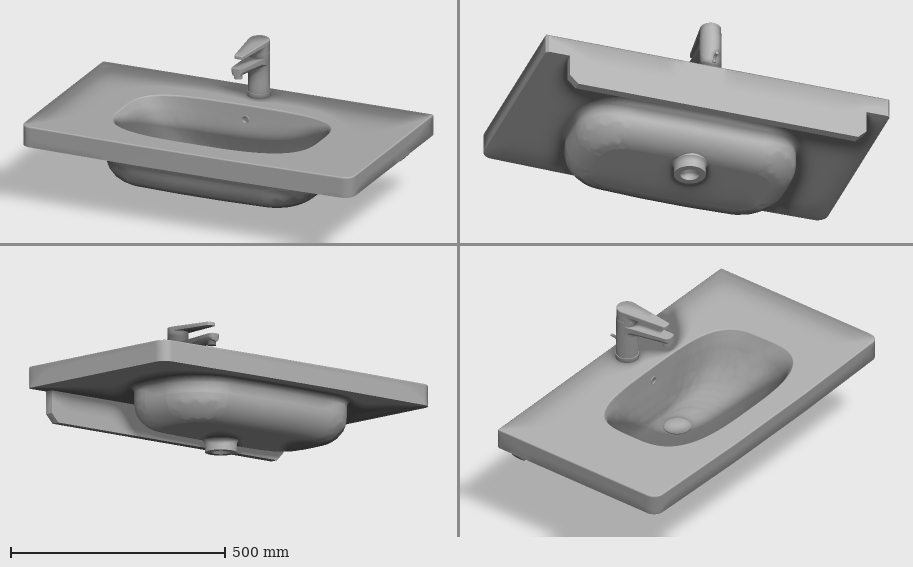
import cadquery as cq
import math


SLAB_WIDTH = 850.0
SLAB_DEPTH = 480.0
SLAB_THICKNESS = 51.0
BACK_Y = SLAB_DEPTH / 2
FRONT_Y = -SLAB_DEPTH / 2
FRONT_BULGE = 8.0
FRONT_CORNER_RADIUS = 26.0
BACK_CORNER_CHAMFER = 6.0
BACK_EDGE_CHAMFER = 6.0
TOP_EDGE_RADIUS = 3.0

APRON_WIDTH = 733.0
APRON_THICKNESS = 20.0
APRON_BOTTOM = -125.0
APRON_CHAMFER = 20.0

BOWL_CENTRE_Y = -33.0
BOWL_HALF_WIDTH = 270.0
BOWL_HALF_DEPTH = 146.0
BOWL_BULGE = 14.0
BOWL_CORNER_RADIUS = 110.5
BOWL_BOTTOM = -150.0
BOWL_BOTTOM_RADIUS = 60.0
BOWL_ROOT_RADIUS = 12.0
SELECTION_MARGIN = 1.0
RIM_HALF_WIDTH = 255.0
RIM_HALF_DEPTH = 142.0
RIM_BACK_EXPONENT = 3.7
RIM_FRONT_EXPONENT = 3.1
SEAT_EXPONENT = 2.0
BOWL_STEEPNESS = 3.0
BOWL_SECTIONS = 6
OUTLINE_POINTS = 48

DRAIN_Y = 35.0
SEAT_DIAMETER = 87.0
SEAT_Z = -136.0
SPIGOT_DIAMETER = 75.0
SPIGOT_BOTTOM = -178.0
SPIGOT_ROOT_RADIUS = 14.0
SPIGOT_ROOT_FLARE = 5.0
DRAIN_BORE = 44.0
PLUG_DIAMETER = 66.0
PLUG_TOP_DIAMETER = 60.0
PLUG_RIM_HEIGHT = 3.0
PLUG_DOME_HEIGHT = 3.0

OVERFLOW_Z = -36.0
OVERFLOW_RING_DIAMETER = 20.0
OVERFLOW_BORE = 16.0
OVERFLOW_RING_FRONT_Y = 105.0
OVERFLOW_RING_LENGTH = 13.0
OVERFLOW_DEPTH = 25.5

TAP_Y = 184.0
COLLAR_DIAMETER = 55.0
COLLAR_HEIGHT = 11.0
TAP_DIAMETER = 52.0
TAP_TOP = 111.0

SPOUT_ROOT_WIDTH = 52.0
SPOUT_ROOT_TOP = 98.0
SPOUT_ROOT_SIDE_HEIGHT = 23.0
SPOUT_ROOT_HEIGHT = 25.5
SPOUT_NECK_Y = 155.0
SPOUT_NECK_WIDTH = 42.5
SPOUT_NECK_TOP = 100.0
SPOUT_NECK_SIDE_HEIGHT = 12.0
SPOUT_NECK_HEIGHT = 25.0
SPOUT_TIP_Y = 52.0
SPOUT_TIP_WIDTH = 29.0
SPOUT_TIP_TOP = 109.0
SPOUT_TIP_SIDE_HEIGHT = 8.0
SPOUT_TIP_HEIGHT = 19.0
SPOUT_TIP_RADIUS = 11.0
AERATOR_Y = 66.0
AERATOR_DIAMETER = 20.0
AERATOR_BOTTOM = 82.0
AERATOR_HEIGHT = 14.0

LEVER_DIAMETER = 50.0
LEVER_TOP = 140.0
LEVER_TIP_Y = 65.0
LEVER_TIP_WIDTH = 22.0
LEVER_TIP_RADIUS = 6.0
LEVER_TIP_DROP = 2.5
LEVER_BLADE_BOTTOM = 129.0
LEVER_EDGE_RADIUS = 2.5

ROD_DIAMETER = 7.0
ROD_Z = 42.0
ROD_TIP_Y = 230.5
ROD_BEND_RADIUS = 12.0
ROD_END_Z = 27.0


def cylinder(diameter, bottom, height, y):
    """Vertical cylinder on the plane of symmetry."""
    return cq.Workplane("XY", origin=(0, y, bottom)).circle(diameter / 2).extrude(height)


def superellipse(half_width, half_depth, back_exponent, front_exponent, y, z):
    """Closed smooth wire: an ellipse where an exponent is 2, squarer where it is larger."""
    points = []
    for i in range(OUTLINE_POINTS):
        angle = 2 * math.pi * i / OUTLINE_POINTS
        c = math.cos(angle)
        s = math.sin(angle)
        exponent = back_exponent if s > 0 else front_exponent
        radius = (abs(c) ** exponent + abs(s) ** exponent) ** (-1 / exponent)
        points.append(cq.Vector(half_width * radius * c, y + half_depth * radius * s, z))
    return cq.Wire.assembleEdges([cq.Edge.makeSpline(points, periodic=True)])


def make_slab():
    half = SLAB_WIDTH / 2
    side_front_y = FRONT_Y + FRONT_BULGE
    slab = (
        cq.Workplane("XY", origin=(0, 0, -SLAB_THICKNESS))
        .moveTo(-half, BACK_Y)
        .lineTo(-half, side_front_y)
        .threePointArc((0, FRONT_Y), (half, side_front_y))
        .lineTo(half, BACK_Y)
        .close()
        .extrude(SLAB_THICKNESS)
    )
    slab = slab.edges("|Z").edges("<Y").fillet(FRONT_CORNER_RADIUS)
    slab = slab.edges("|Z").edges(">Y").chamfer(BACK_CORNER_CHAMFER)
    return slab


def make_apron():
    height = -SLAB_THICKNESS - APRON_BOTTOM
    return (
        cq.Workplane("XY", origin=(0, BACK_Y - APRON_THICKNESS / 2, APRON_BOTTOM))
        .rect(APRON_WIDTH, APRON_THICKNESS)
        .extrude(height)
        .edges("|Y and <Z")
        .chamfer(APRON_CHAMFER)
    )


def make_bowl_shell():
    """Outside of the bowl: a block with four bulging sides and rounded corners and bottom."""
    corner_x = BOWL_HALF_WIDTH - BOWL_BULGE
    corner_y = BOWL_HALF_DEPTH - BOWL_BULGE
    return (
        cq.Workplane("XY", origin=(0, BOWL_CENTRE_Y, BOWL_BOTTOM))
        .moveTo(-corner_x, corner_y)
        .threePointArc((-BOWL_HALF_WIDTH, 0), (-corner_x, -corner_y))
        .threePointArc((0, -BOWL_HALF_DEPTH), (corner_x, -corner_y))
        .threePointArc((BOWL_HALF_WIDTH, 0), (corner_x, corner_y))
        .threePointArc((0, BOWL_HALF_DEPTH), (-corner_x, corner_y))
        .close()
        .extrude(-SLAB_THICKNESS - BOWL_BOTTOM)
        .edges("|Z")
        .fillet(BOWL_CORNER_RADIUS)
        .faces("<Z")
        .edges()
        .fillet(BOWL_BOTTOM_RADIUS)
    )


def make_bowl_cavity():
    """Inside of the bowl: sections that shrink from the rim to the round drain seat."""
    seat_radius = SEAT_DIAMETER / 2
    sections = []
    for i in range(BOWL_SECTIONS + 1):
        spread = 1 - i / BOWL_SECTIONS
        sections.append(
            superellipse(
                seat_radius + (RIM_HALF_WIDTH - seat_radius) * spread,
                seat_radius + (RIM_HALF_DEPTH - seat_radius) * spread,
                SEAT_EXPONENT + (RIM_BACK_EXPONENT - SEAT_EXPONENT) * spread,
                SEAT_EXPONENT + (RIM_FRONT_EXPONENT - SEAT_EXPONENT) * spread,
                DRAIN_Y + (BOWL_CENTRE_Y - DRAIN_Y) * spread,
                SEAT_Z * (1 - spread**BOWL_STEEPNESS),
            )
        )
    return cq.Workplane(cq.Solid.makeLoft(sections))


def make_spigot():
    """Outlet pipe, flared by a hollow round where it leaves the bottom of the bowl."""
    radius = SPIGOT_DIAMETER / 2
    flare_radius = radius + SPIGOT_ROOT_FLARE
    flare_rise = math.sqrt(SPIGOT_ROOT_RADIUS**2 - (SPIGOT_ROOT_RADIUS - SPIGOT_ROOT_FLARE) ** 2)
    return (
        cq.Workplane("XZ", origin=(0, DRAIN_Y, 0))
        .moveTo(0, SPIGOT_BOTTOM)
        .lineTo(radius, SPIGOT_BOTTOM)
        .lineTo(radius, BOWL_BOTTOM - flare_rise)
        .radiusArc((flare_radius, BOWL_BOTTOM), SPIGOT_ROOT_RADIUS)
        .lineTo(flare_radius, SEAT_Z)
        .lineTo(0, SEAT_Z)
        .close()
        .revolve(360, (0, 0, 0), (0, 1, 0))
    )


def overflow_cylinder(diameter, length):
    """Horizontal cylinder that runs back from the front of the overflow ring."""
    plane = cq.Plane(origin=(0, OVERFLOW_RING_FRONT_Y, OVERFLOW_Z), xDir=(1, 0, 0), normal=(0, 1, 0))
    return cq.Workplane(plane).circle(diameter / 2).extrude(length)


def bowl_root():
    """Selector of the edges where the bowl meets the underside of the slab."""
    reach_x = BOWL_HALF_WIDTH + SELECTION_MARGIN
    reach_y = BOWL_HALF_DEPTH + SELECTION_MARGIN
    return cq.selectors.BoxSelector(
        (-reach_x, BOWL_CENTRE_Y - reach_y, -SLAB_THICKNESS - SELECTION_MARGIN),
        (reach_x, BOWL_CENTRE_Y + reach_y, -SLAB_THICKNESS + SELECTION_MARGIN),
        boundingbox=True,
    )


def make_basin():
    basin = make_slab().union(make_bowl_shell())
    basin = basin.edges(bowl_root()).fillet(BOWL_ROOT_RADIUS)
    basin = basin.union(make_apron()).union(make_spigot())
    basin = basin.faces(">Z").edges(">Y").chamfer(BACK_EDGE_CHAMFER)
    basin = basin.cut(make_bowl_cavity())
    basin = basin.faces(">Z").edges().fillet(TOP_EDGE_RADIUS)
    basin = basin.cut(cylinder(DRAIN_BORE, SPIGOT_BOTTOM, SEAT_Z - SPIGOT_BOTTOM, DRAIN_Y))
    basin = basin.cut(overflow_cylinder(OVERFLOW_RING_DIAMETER, OVERFLOW_RING_LENGTH))
    return basin.cut(overflow_cylinder(OVERFLOW_BORE, OVERFLOW_DEPTH))


def make_overflow_ring():
    ring = overflow_cylinder(OVERFLOW_RING_DIAMETER, OVERFLOW_RING_LENGTH)
    return ring.cut(overflow_cylinder(OVERFLOW_BORE, OVERFLOW_RING_LENGTH))


def make_plug():
    """Disc with a bevelled rim and a slightly domed top."""
    top_radius = PLUG_TOP_DIAMETER / 2
    dome_radius = (top_radius**2 + PLUG_DOME_HEIGHT**2) / (2 * PLUG_DOME_HEIGHT)
    return (
        cq.Workplane("XZ", origin=(0, DRAIN_Y, SEAT_Z))
        .lineTo(PLUG_DIAMETER / 2, 0)
        .lineTo(PLUG_DIAMETER / 2, PLUG_RIM_HEIGHT / 2)
        .lineTo(top_radius, PLUG_RIM_HEIGHT)
        .radiusArc((0, PLUG_RIM_HEIGHT + PLUG_DOME_HEIGHT), -dome_radius)
        .close()
        .revolve(360, (0, 0, 0), (0, 1, 0))
    )


def spout_section(y, width, top, side_height, height):
    """U-shaped wire across the spout: flat top, straight sides and an arched underside."""
    half = width / 2
    return (
        cq.Workplane("XZ", origin=(0, y, top))
        .moveTo(-half, 0)
        .lineTo(half, 0)
        .lineTo(half, -side_height)
        .threePointArc((0, -height), (-half, -side_height))
        .close()
        .val()
    )


def make_spout():
    root = spout_section(TAP_Y, SPOUT_ROOT_WIDTH, SPOUT_ROOT_TOP, SPOUT_ROOT_SIDE_HEIGHT, SPOUT_ROOT_HEIGHT)
    neck = spout_section(
        SPOUT_NECK_Y, SPOUT_NECK_WIDTH, SPOUT_NECK_TOP, SPOUT_NECK_SIDE_HEIGHT, SPOUT_NECK_HEIGHT
    )
    tip = spout_section(SPOUT_TIP_Y, SPOUT_TIP_WIDTH, SPOUT_TIP_TOP, SPOUT_TIP_SIDE_HEIGHT, SPOUT_TIP_HEIGHT)
    spout = cq.Workplane(cq.Solid.makeLoft([root, neck, tip], True))
    return spout.faces("<Y").edges("|Z").fillet(SPOUT_TIP_RADIUS)


def make_aerator():
    return cylinder(AERATOR_DIAMETER, AERATOR_BOTTOM, AERATOR_HEIGHT, AERATOR_Y)


def make_lift_rod():
    """Bent rod that leaves the back of the tap body and ends in a horizontal grip."""
    bend_y = TAP_Y + TAP_DIAMETER / 2
    bend = ROD_BEND_RADIUS
    path = (
        cq.Workplane("YZ")
        .moveTo(ROD_TIP_Y, ROD_Z)
        .lineTo(bend_y + bend, ROD_Z)
        .radiusArc((bend_y, ROD_Z - bend), -bend)
        .lineTo(bend_y, ROD_END_Z)
    )
    return cq.Workplane("XZ", origin=(0, ROD_TIP_Y, ROD_Z)).circle(ROD_DIAMETER / 2).sweep(path)


def make_tap_body(aerator, lift_rod):
    body = cylinder(TAP_DIAMETER, COLLAR_HEIGHT, TAP_TOP - COLLAR_HEIGHT, TAP_Y)
    return body.union(make_spout()).cut(aerator).cut(lift_rod)


def make_lever():
    """Round hub with a flat blade that tapers towards the user."""
    radius = LEVER_DIAMETER / 2
    tip_half = LEVER_TIP_WIDTH / 2
    blade_length = TAP_Y - LEVER_TIP_Y
    lean = math.atan2(radius - tip_half, blade_length)
    side_x = radius * math.cos(lean)
    side_y = TAP_Y - radius * math.sin(lean)
    hub = (
        cq.Workplane("XY", origin=(0, 0, TAP_TOP))
        .moveTo(-side_x, side_y)
        .threePointArc((0, TAP_Y + radius), (side_x, side_y))
        .threePointArc((0, TAP_Y - radius), (-side_x, side_y))
        .close()
        .extrude(LEVER_BLADE_BOTTOM - TAP_TOP)
    )
    blade = (
        cq.Workplane("XY", origin=(0, 0, LEVER_BLADE_BOTTOM))
        .moveTo(-side_x, side_y)
        .threePointArc((0, TAP_Y + radius), (side_x, side_y))
        .lineTo(tip_half, LEVER_TIP_Y)
        .lineTo(-tip_half, LEVER_TIP_Y)
        .close()
        .extrude(LEVER_TOP - LEVER_BLADE_BOTTOM)
        .edges("|Z")
        .edges("<Y")
        .fillet(LEVER_TIP_RADIUS)
    )
    above_blade = (
        cq.Workplane("YZ")
        .moveTo(TAP_Y + radius, LEVER_TOP)
        .lineTo(LEVER_TIP_Y, LEVER_TOP - LEVER_TIP_DROP)
        .lineTo(LEVER_TIP_Y, LEVER_TOP)
        .close()
        .extrude(LEVER_DIAMETER, both=True)
    )
    blade = blade.cut(above_blade).faces(">Z").edges().fillet(LEVER_EDGE_RADIUS)
    return hub.union(blade)


basin = make_basin()
overflow_ring = make_overflow_ring()
plug = make_plug()
collar = cylinder(COLLAR_DIAMETER, 0, COLLAR_HEIGHT, TAP_Y)
aerator = make_aerator()
lift_rod = make_lift_rod()
tap_body = make_tap_body(aerator, lift_rod)
lever = make_lever()

result = cq.Compound.makeCompound(
    [
        basin.val(),
        overflow_ring.val(),
        plug.val(),
        collar.val(),
        tap_body.val(),
        aerator.val(),
        lift_rod.val(),
        lever.val(),
    ]
)